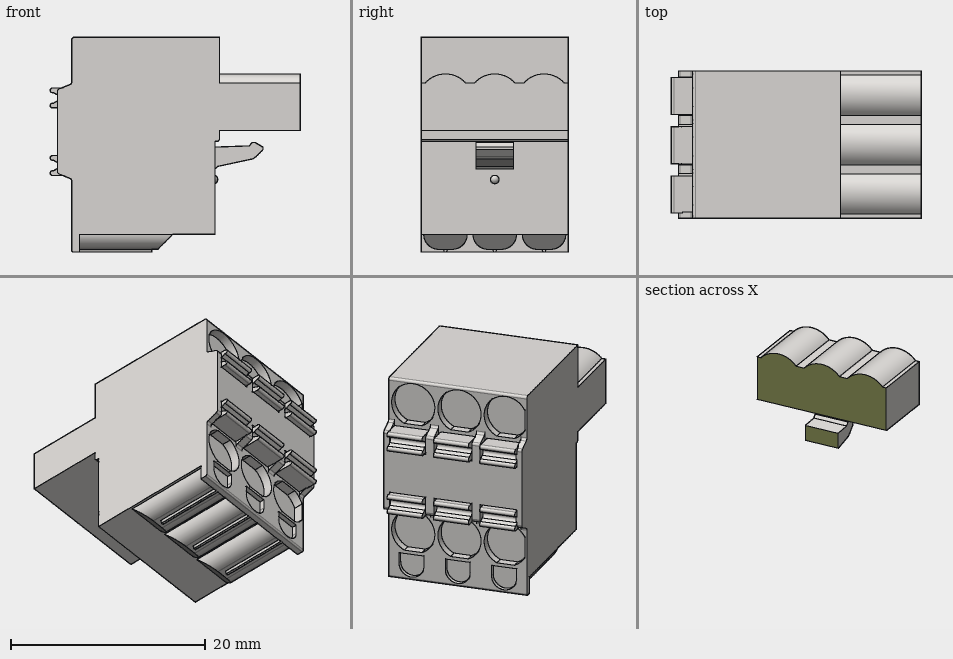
import cadquery as cq
import math

LENGTH = 25.72
WIDTH = 15.15
HEIGHT = 22.1
POLES = 3
PITCH = 5.07

FRONT_X = 2.2
NOSE_X = 0.75
REAR_X = 17.4
LOWER_REAR_X = 16.95
STEP_Z = 11.37
STEP_CHAMFER = 0.18
FLOOR_Z = 1.83
SKIRT_BACK_X = 3.0
TOP_ROUND = 0.28
BOTTOM_ROUND = 0.18

NOSE_MID_Z = 12.4
NOSE_HALF_FACE = 4.3
NOSE_HALF_ROOT = 4.9
NOSE_ROUND = 0.3
NOSE_SIDE_WALL = 0.65
NOSE_PARTITION = 0.9
POCKET_INNER_OFFSET = 2.37
POCKET_OUTER_OFFSET = 5.2

LATCH_WIDTH = 3.83
LATCH_SHIFT_Y = -0.065
LATCH_HEIGHT = 2.05
LATCH_TOPS_Z = (16.87, 9.93)
TOOTH_TIP = 0.5
TOOTH_ROOT = 0.72
TOOTH_ROUND = 0.3

OPENING_RADIUS = 2.37
OPENING_OFFSET_Z = 7.02
OPENING_SHIFT_Y = -0.193
OPENING_FLAT = 2.15
OPENING_DEPTH = 1.0
OPENING_SIDE_LIMIT_Y = 7.35

TEST_RADIUS = 1.36
TEST_CENTRE_Z = 1.7
TEST_TOP_Z = 2.85
TEST_DEPTH = 0.51
RIB_RADIUS = 1.55
RIB_WIDTH = 4.48
RIB_END_X = 12.6
KEEL_END_X = 10.47
KEEL_HALF_WIDTH = 0.13
KEEL_FLARE = 0.4

PLUG_BOTTOM_Z = 12.47
PLUG_TOP_Z = 17.39
DOME_HEIGHT = 0.93
DOME_WIDTH = 4.15

HOOK_WIDTH = 3.85
HOOK_OUTLINE = [
    (LOWER_REAR_X, 10.8),
    (20.47, 10.93),
    (20.75, 11.27),
    (21.1, 11.27),
    (21.9, 10.78),
    (21.9, 10.52),
    (21.2, 9.83),
    (20.83, 9.57),
    (17.23, 8.8),
    (LOWER_REAR_X, 8.55),
]
NUB_Z = 7.45
NUB_BASE_RADIUS = 0.45
NUB_HEIGHT = 0.28

pole_ys = [(pole - (POLES - 1) / 2) * PITCH for pole in range(POLES)]


def box(x0, x1, y0, y1, z0, z1):
    return cq.Workplane("XY").box(x1 - x0, y1 - y0, z1 - z0, centered=False).translate((x0, y0, z0))


def side_plate(points, width):
    """Extrude an X-Z outline symmetrically about Y = 0."""
    return cq.Workplane("XZ").polyline(points).close().extrude(width / 2, both=True)


def round_edges_at(body, corners, radius):
    """Round the edges parallel to Y that pass through the given X-Z corners."""
    edges = [body.edges(cq.NearestToPointSelector((x, 0, z))).val() for x, z in corners]
    return body.newObject(edges).fillet(radius)


def housing():
    """Main body with the front nose, the rear step and the front skirt."""
    face_z = [NOSE_MID_Z - NOSE_HALF_FACE, NOSE_MID_Z + NOSE_HALF_FACE]
    root_z = [NOSE_MID_Z - NOSE_HALF_ROOT, NOSE_MID_Z + NOSE_HALF_ROOT]
    nose_corners = [
        (FRONT_X, root_z[0]),
        (NOSE_X, face_z[0]),
        (NOSE_X, face_z[1]),
        (FRONT_X, root_z[1]),
    ]
    body = side_plate(
        [(FRONT_X, 0)]
        + nose_corners
        + [
            (FRONT_X, HEIGHT),
            (REAR_X, HEIGHT),
            (REAR_X, STEP_Z + STEP_CHAMFER),
            (REAR_X - STEP_CHAMFER, STEP_Z),
            (LOWER_REAR_X, STEP_Z),
            (LOWER_REAR_X, FLOOR_Z),
            (SKIRT_BACK_X, FLOOR_Z),
            (SKIRT_BACK_X, 0),
        ],
        WIDTH,
    )
    body = round_edges_at(body, nose_corners, NOSE_ROUND)
    body = round_edges_at(body, [(FRONT_X, HEIGHT)], TOP_ROUND)
    return round_edges_at(body, [(FRONT_X, 0)], BOTTOM_ROUND)


def cut_latch_pockets(body):
    """Notch the nose at every pole, above and below its plain middle band."""
    limit_y = WIDTH / 2 - NOSE_SIDE_WALL
    half_width = (PITCH - NOSE_PARTITION) / 2
    for y in pole_ys:
        y0 = max(y - half_width, -limit_y)
        y1 = min(y + half_width, limit_y)
        for side in (-1, 1):
            z0, z1 = sorted(NOSE_MID_Z + side * d for d in (POCKET_INNER_OFFSET, POCKET_OUTER_OFFSET))
            body = body.cut(box(0, FRONT_X, y0, y1, z0, z1))
    return body


def latch(y, top_z):
    """Block with two pointed teeth and a round groove between their roots."""
    bottom_z = top_z - LATCH_HEIGHT
    middle_z = top_z - LATCH_HEIGHT / 2
    groove_radius = LATCH_HEIGHT / 2 - TOOTH_ROOT
    return (
        cq.Workplane("XZ", origin=(0, y, 0))
        .moveTo(FRONT_X, top_z)
        .lineTo(TOOTH_ROUND, top_z)
        .threePointArc((0, top_z - TOOTH_TIP / 2), (TOOTH_ROUND, top_z - TOOTH_TIP))
        .lineTo(NOSE_X, top_z - TOOTH_ROOT)
        .threePointArc((NOSE_X + groove_radius, middle_z), (NOSE_X, bottom_z + TOOTH_ROOT))
        .lineTo(TOOTH_ROUND, bottom_z + TOOTH_TIP)
        .threePointArc((0, bottom_z + TOOTH_TIP / 2), (TOOTH_ROUND, bottom_z))
        .lineTo(FRONT_X, bottom_z)
        .close()
        .extrude(LATCH_WIDTH / 2, both=True)
    )


def wire_opening(y, side):
    """Shallow round recess, cut flat towards the nose, and below for the lower row."""
    z = NOSE_MID_Z + side * OPENING_OFFSET_Z
    disc = (
        cq.Workplane("YZ", origin=(FRONT_X, y, z))
        .circle(OPENING_RADIUS)
        .extrude(OPENING_DEPTH)
    )
    top = OPENING_RADIUS if side > 0 else OPENING_FLAT
    limit = box(
        FRONT_X,
        FRONT_X + OPENING_DEPTH,
        -OPENING_SIDE_LIMIT_Y,
        OPENING_SIDE_LIMIT_Y,
        z - OPENING_FLAT,
        z + top,
    )
    return disc.intersect(limit)


def test_opening(y):
    """Shallow D-shaped recess, flat side up."""
    return (
        cq.Workplane("YZ", origin=(FRONT_X, y, 0))
        .moveTo(-TEST_RADIUS, TEST_TOP_Z)
        .lineTo(-TEST_RADIUS, TEST_CENTRE_Z)
        .threePointArc((0, TEST_CENTRE_Z - TEST_RADIUS), (TEST_RADIUS, TEST_CENTRE_Z))
        .lineTo(TEST_RADIUS, TEST_TOP_Z)
        .close()
        .extrude(TEST_DEPTH)
    )


def underside_rib(y):
    """Round-cornered rib with a 45 degree rear end and a shorter flared keel along its crest."""
    crest_z = FLOOR_Z - RIB_RADIUS
    half_width = RIB_WIDTH / 2
    flat = half_width - RIB_RADIUS
    corner = RIB_RADIUS * math.sqrt(0.5)
    rib = (
        cq.Workplane("YZ", origin=(SKIRT_BACK_X, y, FLOOR_Z))
        .moveTo(-half_width, 0)
        .threePointArc((-flat - corner, -corner), (-flat, -RIB_RADIUS))
        .lineTo(flat, -RIB_RADIUS)
        .threePointArc((flat + corner, -corner), (half_width, 0))
        .close()
        .extrude(RIB_END_X - SKIRT_BACK_X)
    )
    sloped_end = side_plate(
        [
            (SKIRT_BACK_X, FLOOR_Z),
            (RIB_END_X, FLOOR_Z),
            (RIB_END_X - FLOOR_Z, 0),
            (SKIRT_BACK_X, 0),
        ],
        WIDTH,
    )
    flare_y = KEEL_HALF_WIDTH + KEEL_FLARE
    sag = KEEL_FLARE * math.sqrt(0.5)
    keel = (
        cq.Workplane("YZ", origin=(SKIRT_BACK_X, y, 0))
        .moveTo(-KEEL_HALF_WIDTH, 0)
        .lineTo(KEEL_HALF_WIDTH, 0)
        .threePointArc((flare_y - sag, sag), (flare_y, KEEL_FLARE))
        .lineTo(flare_y, crest_z + KEEL_FLARE)
        .lineTo(-flare_y, crest_z + KEEL_FLARE)
        .lineTo(-flare_y, KEEL_FLARE)
        .threePointArc((sag - flare_y, sag), (-KEEL_HALF_WIDTH, 0))
        .close()
        .extrude(KEEL_END_X - SKIRT_BACK_X)
    )
    return rib.intersect(sloped_end).union(keel)


def plug():
    """Full-width bar topped by one dome per pole."""
    bar = box(REAR_X, LENGTH, -WIDTH / 2, WIDTH / 2, PLUG_BOTTOM_Z, PLUG_TOP_Z)
    for y in pole_ys:
        dome = (
            cq.Workplane("YZ", origin=(REAR_X, y, PLUG_TOP_Z))
            .moveTo(-DOME_WIDTH / 2, 0)
            .threePointArc((0, DOME_HEIGHT), (DOME_WIDTH / 2, 0))
            .close()
            .extrude(LENGTH - REAR_X)
        )
        bar = bar.union(dome)
    return bar


def locking_hook():
    """Tapered arm with a raised, pointed catch at its free end."""
    return side_plate(HOOK_OUTLINE, HOOK_WIDTH)


def nub():
    """Spherical cap on the lower rear wall."""
    cap_radius = (NUB_BASE_RADIUS**2 + NUB_HEIGHT**2) / (2 * NUB_HEIGHT)
    half_angle = math.asin(NUB_BASE_RADIUS / cap_radius) / 2
    middle = (
        NUB_HEIGHT - cap_radius * (1 - math.cos(half_angle)),
        cap_radius * math.sin(half_angle),
    )
    return (
        cq.Workplane("XY", origin=(LOWER_REAR_X, 0, NUB_Z))
        .moveTo(NUB_HEIGHT, 0)
        .threePointArc(middle, (0, NUB_BASE_RADIUS))
        .lineTo(0, 0)
        .close()
        .revolve(360, (0, 0), (1, 0))
    )


result = cut_latch_pockets(housing())
result = result.union(plug()).union(locking_hook()).union(nub())
for pole_y in pole_ys:
    result = result.union(underside_rib(pole_y))
    result = result.cut(test_opening(pole_y))
    for row in (-1, 1):
        result = result.cut(wire_opening(pole_y + OPENING_SHIFT_Y, row))
    for latch_top in LATCH_TOPS_Z:
        result = result.union(latch(pole_y + LATCH_SHIFT_Y, latch_top))